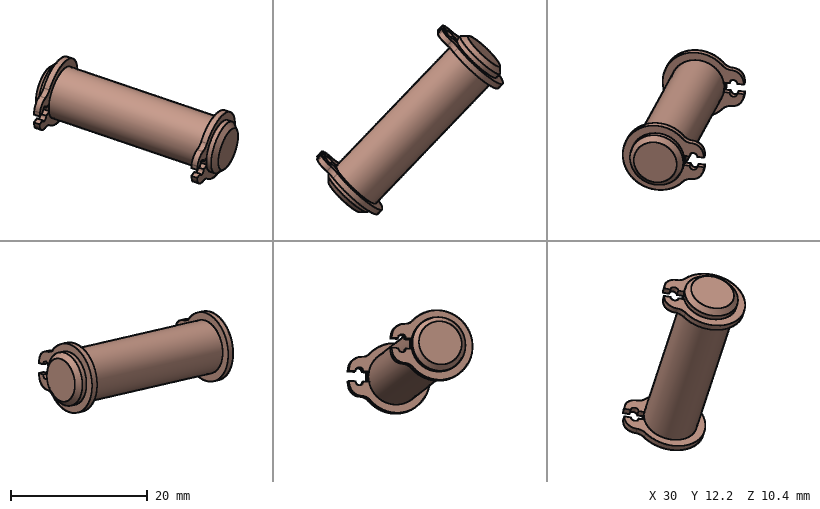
import cadquery as cq
import math

pin_length = 30.0
pin_diameter = 8.0
pin_chamfer = 0.78
groove_depth = 0.2

ring_thickness = 0.95
ring_inset = 1.55
ring_radius = 5.2
ring_center_y = 0.1

lug_half_height = 2.9
lug_tip_radius = 7.08
lug_corner_radius = 1.83
gap_half_height = 0.765
plier_hole_radius = 0.57
plier_hole_y = -5.37

corner_center_z = lug_half_height - lug_corner_radius
corner_center_distance = lug_tip_radius - lug_corner_radius
corner_reach = math.sqrt(corner_center_distance**2 - corner_center_z**2)
neck_radius = (corner_reach**2 + lug_half_height**2 - ring_radius**2) / (
    2 * (ring_radius - lug_half_height)
)
neck_center_z = lug_half_height + neck_radius


def ring_point(center_reach, center_z, radius, angle):
    """(Y, Z) point on an arc; reach and angle run from the rim centre's -Y axis toward +Z."""
    reach = center_reach + radius * math.cos(angle)
    return ring_center_y - reach, center_z + radius * math.sin(angle)


def mirrored(point):
    return point[0], -point[1]


def make_ring_outline():
    corner_angle = math.atan2(corner_center_z, corner_reach)
    rim_angle = math.atan2(neck_center_z, corner_reach)
    crest_angle = math.pi / 2
    gap_angle = math.asin(gap_half_height / lug_tip_radius)

    gap_end = ring_point(0, 0, lug_tip_radius, gap_angle)
    tip_middle = ring_point(0, 0, lug_tip_radius, (gap_angle + corner_angle) / 2)
    tip_end = ring_point(0, 0, lug_tip_radius, corner_angle)
    corner_middle = ring_point(
        corner_reach, corner_center_z, lug_corner_radius, (corner_angle + crest_angle) / 2
    )
    crest = ring_point(corner_reach, corner_center_z, lug_corner_radius, crest_angle)
    neck_middle_angle = (-crest_angle + rim_angle - math.pi) / 2
    neck_middle = ring_point(corner_reach, neck_center_z, neck_radius, neck_middle_angle)
    rim_start = ring_point(0, 0, ring_radius, rim_angle)
    rim_far_side = (ring_center_y + ring_radius, 0)

    return (
        cq.Workplane("YZ")
        .moveTo(*gap_end)
        .threePointArc(tip_middle, tip_end)
        .threePointArc(corner_middle, crest)
        .threePointArc(neck_middle, rim_start)
        .threePointArc(rim_far_side, mirrored(rim_start))
        .threePointArc(mirrored(neck_middle), mirrored(crest))
        .threePointArc(mirrored(corner_middle), mirrored(tip_end))
        .threePointArc(mirrored(tip_middle), mirrored(gap_end))
        .close()
    )


def make_ring():
    """Ring with its lower X face at X = 0; the gap is cut from the pin axis outward."""
    ring = make_ring_outline().extrude(ring_thickness)
    gap = (
        cq.Workplane("YZ")
        .center(-lug_tip_radius / 2, 0)
        .rect(lug_tip_radius, 2 * gap_half_height)
        .extrude(ring_thickness)
    )
    plier_holes = (
        cq.Workplane("YZ")
        .pushPoints([(plier_hole_y, gap_half_height), (plier_hole_y, -gap_half_height)])
        .circle(plier_hole_radius)
        .extrude(ring_thickness)
    )
    return ring.cut(gap).cut(plier_holes)


def make_pin():
    return (
        cq.Workplane("YZ")
        .circle(pin_diameter / 2)
        .extrude(pin_length / 2, both=True)
        .faces("<X or >X")
        .chamfer(pin_chamfer)
    )


def make_groove():
    """Annulus removed from the pin to seat a ring, with its lower X face at X = 0."""
    return (
        cq.Workplane("YZ")
        .circle(pin_diameter / 2)
        .circle(pin_diameter / 2 - groove_depth)
        .extrude(ring_thickness)
    )


ring = make_ring()
groove = make_groove()
first_ring_x = ring_inset - pin_length / 2
second_ring_x = -first_ring_x - ring_thickness

result = make_pin()
for ring_x in (first_ring_x, second_ring_x):
    seat_offset = (ring_x, 0, 0)
    result = result.cut(groove.translate(seat_offset)).union(ring.translate(seat_offset))